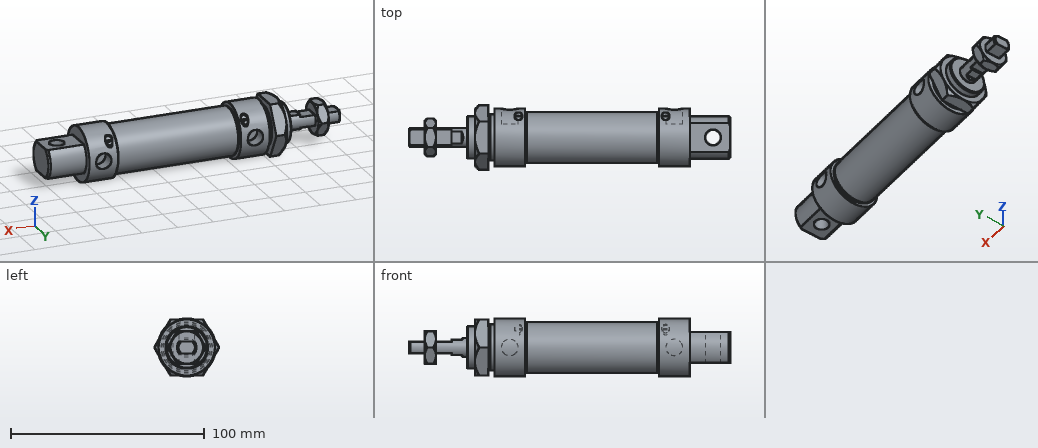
import cadquery as cq
import math


rod_diameter = 10
rod_tip_chamfer = 0.75
rod_nut_start = 8
rod_nut_thickness = 6
rod_nut_across_flats = 17
rod_nut_chamfer_diameter = 16.8
thread_flat_thickness = 6
thread_length = 22
wrench_flat_thickness = 8
wrench_flat_end = 27

neck_start = 30
neck_diameter = 22
neck_chamfer = 0.5
mounting_nut_start = 34
mounting_nut_thickness = 7
mounting_nut_across_flats = 29
mounting_nut_chamfer_diameter = 29
collar_diameter = 24
collar_length = 2

front_cap_start = 44
cap_diameter = 30
cap_length = 16
tube_diameter = 26.5
tube_chamfer = 1
groove_diameter = 26
groove_width = 1
rear_cap_start = 129

lug_diameter = 22
lug_thickness = 16
lug_length = 21
lug_chamfer = 1
pin_hole_diameter = 8
pin_hole_from_cap = 12

port_diameter = 8.57
port_depth = 8
screw_diameter = 4
screw_offset = 11
screw_recess = 0.5
slot_width = 0.4
slot_end_margin = 0.2
slot_depth = 0.5
screw_from_tube = 3.5

front_cap_end = front_cap_start + cap_length
rear_cap_end = rear_cap_start + cap_length
total_length = rear_cap_end + lug_length
cap_radius = cap_diameter / 2


def rod_section(start, end, diameter):
    """Round bar along X from start to end."""
    return cq.Workplane("YZ", origin=(start, 0, 0)).circle(diameter / 2).extrude(end - start)


def box_between(start, end, width, thickness):
    """Box centred on the X axis, from start to end."""
    return cq.Workplane("YZ", origin=(start, 0, 0)).rect(width, thickness).extrude(end - start)


def hex_nut(start, thickness, across_flats, chamfer_diameter, chamfer_far_face):
    """Hexagon along X, flats facing +Z and -Z, corners coned off at 45 degrees on one or both faces."""
    corner_radius = across_flats / math.sqrt(3)
    chamfer_radius = chamfer_diameter / 2
    chamfer_length = corner_radius - chamfer_radius
    end = start + thickness
    hexagon = cq.Workplane("YZ", origin=(start, 0, 0)).polygon(6, 2 * corner_radius).extrude(thickness)
    profile = (
        cq.Workplane("XY")
        .moveTo(start, 0)
        .lineTo(start, chamfer_radius)
        .lineTo(start + chamfer_length, corner_radius)
    )
    if chamfer_far_face:
        profile = profile.lineTo(end - chamfer_length, corner_radius).lineTo(end, chamfer_radius)
    else:
        profile = profile.lineTo(end, corner_radius)
    envelope = profile.lineTo(end, 0).close().revolve(360, (0, 0, 0), (1, 0, 0))
    return hexagon.intersect(envelope)


def build_piston_rod():
    """Rod with flats on its thread, narrower wrench flats behind it, and its hexagon nut."""
    bar = rod_section(0, neck_start, rod_diameter).faces("<X").chamfer(rod_tip_chamfer)
    half_thread = thread_flat_thickness / 2
    half_wrench = wrench_flat_thickness / 2
    rod_radius = rod_diameter / 2
    ramp_end = wrench_flat_end + rod_radius - half_wrench
    upper_side = [
        (0, half_thread),
        (thread_length, half_thread),
        (thread_length, half_wrench),
        (wrench_flat_end, half_wrench),
        (ramp_end, rod_radius),
        (neck_start, rod_radius),
    ]
    lower_side = [(x, -z) for x, z in reversed(upper_side)]
    side_outline = cq.Workplane("XZ").polyline(upper_side + lower_side).close()
    flats = side_outline.extrude(rod_radius, both=True)
    nut = hex_nut(rod_nut_start, rod_nut_thickness, rod_nut_across_flats, rod_nut_chamfer_diameter, True)
    return bar.intersect(flats).union(nut)


def build_tube():
    """Tube with a chamfered front end and a shallow groove next to the rear cap."""
    groove_start = rear_cap_start - groove_width
    tube = rod_section(front_cap_end, groove_start, tube_diameter).faces("<X").chamfer(tube_chamfer)
    return tube.union(rod_section(groove_start, rear_cap_start, groove_diameter))


def build_lug():
    """Round lug with two flats and a cross hole for the pivot pin."""
    lug = rod_section(rear_cap_end, total_length, lug_diameter).faces(">X").chamfer(lug_chamfer)
    lug = lug.intersect(box_between(rear_cap_end, total_length, lug_diameter, lug_thickness))
    pin_hole = (
        cq.Workplane("XY", origin=(rear_cap_end + pin_hole_from_cap, 0, 0))
        .circle(pin_hole_diameter / 2)
        .extrude(lug_thickness, both=True)
    )
    return lug.cut(pin_hole)


def port_cut(x):
    """Air port drilled in from the +Y side."""
    return cq.Workplane("XZ", origin=(x, cap_radius, 0)).circle(port_diameter / 2).extrude(port_depth)


def screw_cut(x):
    """Vertical recess over a cushion screw; its floor follows the cap and carries the driver slot."""
    screw_plane = cq.Workplane("XY", origin=(x, screw_offset, 0))
    recess = screw_plane.circle(screw_diameter / 2).extrude(cap_radius)
    floor_radius = cap_radius - screw_recess
    recess = recess.cut(rod_section(front_cap_start, rear_cap_end, 2 * floor_radius))
    floor_height = math.sqrt(floor_radius**2 - screw_offset**2)
    slot = (
        screw_plane.workplane(offset=floor_height - slot_depth)
        .rect(screw_diameter - slot_end_margin, slot_width)
        .extrude(2 * slot_depth)
    )
    return recess.union(slot)


def build_housing():
    """Neck, mounting nut, end caps, tube and rear lug in one solid."""
    neck = rod_section(neck_start, front_cap_start, neck_diameter).faces("<X").chamfer(neck_chamfer)
    nut = hex_nut(
        mounting_nut_start,
        mounting_nut_thickness,
        mounting_nut_across_flats,
        mounting_nut_chamfer_diameter,
        False,
    )
    body = neck.union(nut)
    body = body.union(rod_section(front_cap_start - collar_length, front_cap_start, collar_diameter))
    body = body.union(rod_section(front_cap_start, front_cap_end, cap_diameter))
    body = body.union(build_tube())
    body = body.union(rod_section(rear_cap_start, rear_cap_end, cap_diameter))
    body = body.union(build_lug())
    for cap_start in (front_cap_start, rear_cap_start):
        body = body.cut(port_cut(cap_start + cap_length / 2))
    for x in (front_cap_end - screw_from_tube, rear_cap_start + screw_from_tube):
        body = body.cut(screw_cut(x))
    return body


piston_rod = build_piston_rod()
housing = build_housing()
result = cq.Compound.makeCompound([piston_rod.val(), housing.val()])